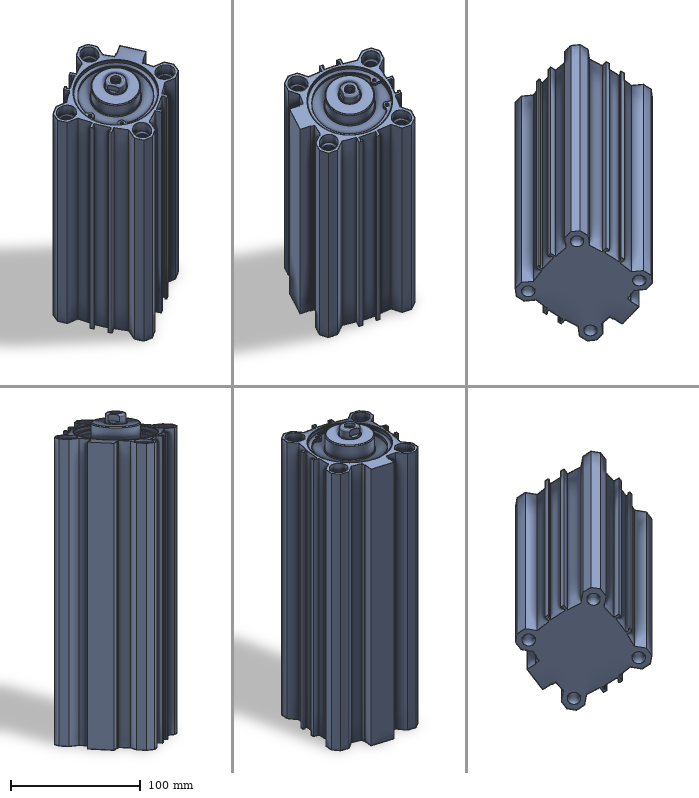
import cadquery as cq

TUBE_LENGTH = 241.5
OVERALL_LENGTH = 256.5
BOSS_HEIGHT = 7.5
TUBE_HALF = 40.0

POST_CHAMFER = 5.2
POST_INNER = 27.1
WALL_CORNER = 20.5
WALL_AT_CORNER = TUBE_HALF - (POST_INNER - WALL_CORNER)
WALL_AT_RAIL = 34.5
RAIL_FLOOR = 35.1

RAIL_OUTER = 8.9
RAIL_INNER = 6.9
RAIL_LIP = 5.7
RAIL_TOP = 39.4
RAIL_LIP_THICKNESS = 1.6

PORT_TOP = 46.0
PORT_HALF_WIDTH = 10.6
PORT_FOOT_HALF_WIDTH = 11.2
PORT_FOOT_TOP = 37.5

MOUNT_OFFSET = 30.5
MOUNT_HOLE_DIAMETER = 10.3
MOUNT_SLOT_WIDTH = 14.0
MOUNT_SLOT_LENGTH = 15.5
MOUNT_SLOT_DEPTH = 10.5

RECESS_DIAMETER = 65.1
RECESS_CHAMFER = 0.5
GROOVE_DIAMETER = 68.2
FLANGE_DEPTH = 5.7
FLANGE_THICKNESS = 8.0

FLANGE_DIAMETER = 64.7
BOSS_DIAMETER = 38.5
BOSS_CHAMFER = 0.8
BOSS_FOOT_DIAMETER = 40.0
ROD_HOLE_DIAMETER = 16.54
ROD_HOLE_MOUTH_DIAMETER = 18.0

RING_THICKNESS = 2.5
RING_INNER_DIAMETER = 58.7
LUG_HOLE_X = 12.7
LUG_HOLE_Y = 25.9
LUG_HOLE_DIAMETER = 3.0
LUG_EYE_RADIUS = 3.1
LUG_END = 10.2
LUG_ROOT = 18.0
LUG_TOP = 23.8

ROD_DIAMETER = 16.0
ROD_END_RADIUS = 2.0
FLATS_WIDTH = 13.2
FLATS_LENGTH = 5.5
THREAD_HOLE_DIAMETER = 6.65
THREAD_MOUTH_DIAMETER = 8.25
THREAD_MOUTH_DEPTH = 2.7
THREAD_HOLE_DEPTH = 12.0
DRILL_TIP_DEPTH = 0.5

FLANGE_TOP = TUBE_LENGTH - FLANGE_DEPTH
FLANGE_BOTTOM = FLANGE_TOP - FLANGE_THICKNESS
BOSS_TOP = TUBE_LENGTH + BOSS_HEIGHT
RING_TOP = FLANGE_TOP + RING_THICKNESS


def disc(diameter, bottom, top):
    """Cylinder on the Z axis between two levels."""
    return cq.Workplane("XY").workplane(offset=bottom).circle(diameter / 2).extrude(top - bottom)


def prism(points, bottom, top):
    """Closed polygon extruded between two levels."""
    return cq.Workplane("XY").workplane(offset=bottom).polyline(points).close().extrude(top - bottom)


def bevel_cone(small_diameter, large_diameter, top):
    """45 degree cone that widens a round hole up to its mouth at the top level."""
    height = (large_diameter - small_diameter) / 2
    base = cq.Vector(0, 0, top - height)
    return cq.Workplane(cq.Solid.makeCone(small_diameter / 2, large_diameter / 2, height, pnt=base))


def tube_quarter_outline():
    """Half of the +Y wall and the post up to the +X wall, going clockwise."""
    post_end = TUBE_HALF - POST_CHAMFER
    upper = [
        (RAIL_OUTER, WALL_AT_RAIL),
        (WALL_CORNER, WALL_AT_CORNER),
        (POST_INNER, TUBE_HALF),
        (post_end, TUBE_HALF),
    ]
    return [(0, WALL_AT_RAIL)] + upper + [(y, x) for x, y in reversed(upper)]


def tube_core():
    quarter = tube_quarter_outline()
    outline = []
    for _ in range(4):
        outline += quarter
        quarter = [(y, -x) for x, y in quarter]
    return prism(outline, 0, TUBE_LENGTH)


def sensor_rails(angle):
    """Hooked rib pair of the +Y wall, turned about Z to its own wall."""
    root = WALL_AT_CORNER
    lip_bottom = RAIL_TOP - RAIL_LIP_THICKNESS
    half = [
        (RAIL_INNER, RAIL_FLOOR),
        (RAIL_INNER, lip_bottom),
        (RAIL_LIP, lip_bottom),
        (RAIL_LIP, RAIL_TOP),
        (RAIL_OUTER, RAIL_TOP),
        (RAIL_OUTER, root),
    ]
    mirrored = [(-x, y) for x, y in reversed(half)]
    return prism(half + mirrored, 0, TUBE_LENGTH).rotate((0, 0, 0), (0, 0, 1), angle)


def port_block():
    half = [
        (PORT_FOOT_HALF_WIDTH, WALL_AT_CORNER),
        (PORT_FOOT_HALF_WIDTH, PORT_FOOT_TOP),
        (PORT_HALF_WIDTH, PORT_FOOT_TOP),
        (PORT_HALF_WIDTH, PORT_TOP),
    ]
    mirrored = [(-x, y) for x, y in reversed(half)]
    return prism(half + mirrored, 0, TUBE_LENGTH)


def mounting_hole(angle):
    """Through hole with a radially stretched counterbore, on the diagonal at the given angle."""
    radius = MOUNT_OFFSET * 2 ** 0.5
    hole = cq.Workplane("XY").center(radius, 0).circle(MOUNT_HOLE_DIAMETER / 2).extrude(TUBE_LENGTH)
    slot = (
        cq.Workplane("XY")
        .workplane(offset=TUBE_LENGTH - MOUNT_SLOT_DEPTH)
        .center(radius, 0)
        .slot2D(MOUNT_SLOT_LENGTH, MOUNT_SLOT_WIDTH)
        .extrude(MOUNT_SLOT_DEPTH)
    )
    return hole.union(slot).rotate((0, 0, 0), (0, 0, 1), angle)


def make_tube():
    tube = tube_core().union(port_block())
    for angle in (90, 180, 270):
        tube = tube.union(sensor_rails(angle))
    for angle in (45, 135, 225, 315):
        tube = tube.cut(mounting_hole(angle))
    tube = tube.cut(disc(RECESS_DIAMETER, FLANGE_BOTTOM, TUBE_LENGTH))
    tube = tube.cut(bevel_cone(RECESS_DIAMETER, RECESS_DIAMETER + 2 * RECESS_CHAMFER, TUBE_LENGTH))
    return tube.cut(disc(GROOVE_DIAMETER, FLANGE_TOP, RING_TOP))


def make_head():
    flange = disc(FLANGE_DIAMETER, FLANGE_BOTTOM, FLANGE_TOP)
    boss = disc(BOSS_DIAMETER, FLANGE_TOP, BOSS_TOP).faces(">Z").edges().chamfer(BOSS_CHAMFER)
    foot_height = (BOSS_FOOT_DIAMETER - BOSS_DIAMETER) / 2
    foot = cq.Workplane(cq.Solid.makeCone(
        BOSS_FOOT_DIAMETER / 2,
        BOSS_DIAMETER / 2,
        foot_height,
        pnt=cq.Vector(0, 0, FLANGE_TOP),
    ))
    head = flange.union(boss).union(foot)
    head = head.cut(disc(ROD_HOLE_DIAMETER, FLANGE_BOTTOM, BOSS_TOP))
    return head.cut(bevel_cone(ROD_HOLE_DIAMETER, ROD_HOLE_MOUTH_DIAMETER, BOSS_TOP))


def ring_lug(side):
    """Lug with a round eye beside the ring's gap; side is -1 or 1 for its X sign."""
    outer = GROOVE_DIAMETER / 2
    corners = [
        (side * LUG_END, -LUG_TOP),
        (side * LUG_ROOT, -LUG_TOP),
        (side * LUG_ROOT, -outer),
        (side * LUG_END, -outer),
    ]
    eye = disc(2 * LUG_EYE_RADIUS, FLANGE_TOP, RING_TOP).translate((side * LUG_HOLE_X, -LUG_HOLE_Y, 0))
    lug = prism(corners, FLANGE_TOP, RING_TOP).union(eye)
    return lug.intersect(disc(GROOVE_DIAMETER, FLANGE_TOP, RING_TOP))


def make_ring():
    ring = disc(GROOVE_DIAMETER, FLANGE_TOP, RING_TOP).cut(disc(RING_INNER_DIAMETER, FLANGE_TOP, RING_TOP))
    gap = [(-LUG_END, 0), (LUG_END, 0), (LUG_END, -GROOVE_DIAMETER), (-LUG_END, -GROOVE_DIAMETER)]
    ring = ring.cut(prism(gap, FLANGE_TOP, RING_TOP))
    for side in (-1, 1):
        hole = disc(LUG_HOLE_DIAMETER, FLANGE_TOP, RING_TOP).translate((side * LUG_HOLE_X, -LUG_HOLE_Y, 0))
        ring = ring.union(ring_lug(side)).cut(hole)
    return ring


def make_rod():
    radius = ROD_DIAMETER / 2
    hole_radius = THREAD_HOLE_DIAMETER / 2
    mouth_radius = THREAD_MOUTH_DIAMETER / 2
    mouth_bottom = OVERALL_LENGTH - THREAD_MOUTH_DEPTH
    hole_bottom = OVERALL_LENGTH - THREAD_HOLE_DEPTH
    arc_offset = ROD_END_RADIUS * (1 - 0.5 ** 0.5)
    rod = (
        cq.Workplane("XZ")
        .moveTo(0, FLANGE_BOTTOM)
        .lineTo(radius, FLANGE_BOTTOM)
        .lineTo(radius, OVERALL_LENGTH - ROD_END_RADIUS)
        .threePointArc(
            (radius - arc_offset, OVERALL_LENGTH - arc_offset),
            (radius - ROD_END_RADIUS, OVERALL_LENGTH),
        )
        .lineTo(mouth_radius, OVERALL_LENGTH)
        .lineTo(mouth_radius, mouth_bottom)
        .lineTo(hole_radius, mouth_bottom)
        .lineTo(hole_radius, hole_bottom)
        .lineTo(0, hole_bottom - DRILL_TIP_DEPTH)
        .close()
        .revolve(360, (0, 0, 0), (0, 1, 0))
    )
    flat = FLATS_WIDTH / 2
    flat_bottom = OVERALL_LENGTH - FLATS_LENGTH
    slope = radius - flat
    for side in (-1, 1):
        cutter = (
            cq.Workplane("YZ")
            .polyline([
                (side * flat, OVERALL_LENGTH),
                (side * flat, flat_bottom),
                (side * (flat + slope), flat_bottom - slope),
                (side * (flat + slope), OVERALL_LENGTH),
            ])
            .close()
            .extrude(radius, both=True)
        )
        rod = rod.cut(cutter)
    return rod


tube = make_tube()
head = make_head()
ring = make_ring()
rod = make_rod()
result = cq.Compound.makeCompound([tube.val(), head.val(), ring.val(), rod.val()])